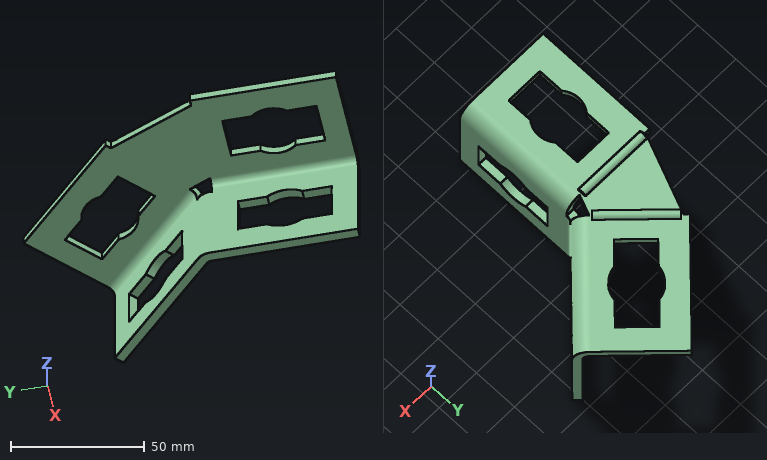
import cadquery as cq
import math

total_length = 130.8
turn_angle = 45.0
width = 45.0
height = 45.1
thickness = 4.0
inner_radius = 3.0
joint_length = 2.0

slot_length = 36.0
slot_width = 16.6
relief_diameter = 21.3
top_slot_from_edge = 20.4
side_slot_from_edge = 20.1

web_inset = 2.4
strip_drop = 8.0
bead_start = 3.4
bead_length = 33.4
bead_width = 3.9
bead_height = 1.0

outer_radius = inner_radius + thickness
half_turn = math.radians(turn_angle / 2)
turn = math.radians(turn_angle)
corner_y = (total_length - width * math.sin(turn)) / (1 + math.cos(turn))
arm_length = corner_y - joint_length
bend_line_x = width - outer_radius
mirror_normal = (math.sin(half_turn), math.cos(half_turn))


def slot_cutter(plane, depth):
    """Slot running along the plane's local X, cut to both sides of the plane."""
    rectangle = cq.Workplane(plane).rect(slot_length, slot_width).extrude(depth, both=True)
    relief = cq.Workplane(plane).circle(relief_diameter / 2).extrude(depth, both=True)
    return rectangle.union(relief)


def make_arm():
    """Angle section along Y, its bend at +X, with one slot in each leg."""
    arm = (
        cq.Workplane("XZ")
        .moveTo(0, height)
        .lineTo(bend_line_x, height)
        .radiusArc((width, height - outer_radius), outer_radius)
        .lineTo(width, 0)
        .lineTo(width - thickness, 0)
        .lineTo(width - thickness, height - outer_radius)
        .radiusArc((bend_line_x, height - thickness), -inner_radius)
        .lineTo(0, height - thickness)
        .close()
        .extrude(-arm_length)
    )
    middle_y = arm_length / 2
    top_plane = cq.Plane((top_slot_from_edge, middle_y, height), xDir=(0, 1, 0), normal=(0, 0, 1))
    side_plane = cq.Plane((width, middle_y, side_slot_from_edge), xDir=(0, 1, 0), normal=(1, 0, 0))
    cut_depth = 2 * thickness
    return arm.cut(slot_cutter(top_plane, cut_depth)).cut(slot_cutter(side_plane, cut_depth))


def web_edge_end(x):
    """Foot on the mirror plane of the perpendicular from the arm end at x."""
    distance = (joint_length + (width - x) * math.tan(half_turn)) * math.cos(half_turn)
    return (x + distance * mirror_normal[0], arm_length + distance * mirror_normal[1])


def make_half_web():
    """Flat plate from the arm end to the mirror plane."""
    return (
        cq.Workplane("XY")
        .workplane(offset=height - thickness)
        .moveTo(web_inset, arm_length)
        .lineTo(bend_line_x, arm_length)
        .lineTo(*web_edge_end(bend_line_x))
        .lineTo(*web_edge_end(web_inset))
        .close()
        .extrude(thickness)
    )


def make_half_strip():
    """Upright corner strip from the arm end to the middle of its bend."""
    center_x = width + inner_radius
    center_y = corner_y - inner_radius * math.tan(half_turn)

    def bend_point(radius, angle):
        return (center_x - radius * math.cos(angle), center_y + radius * math.sin(angle))

    return (
        cq.Workplane("XY")
        .moveTo(width, arm_length)
        .lineTo(width, center_y)
        .threePointArc(bend_point(inner_radius, half_turn / 2), bend_point(inner_radius, half_turn))
        .lineTo(*bend_point(outer_radius, half_turn))
        .threePointArc(bend_point(outer_radius, half_turn / 2), bend_point(outer_radius, 0))
        .lineTo(width - thickness, arm_length)
        .close()
        .extrude(height - strip_drop)
    )


def make_bead():
    """Low rounded bead on the plate, centred on the arm end."""
    return (
        cq.Workplane("YZ")
        .workplane(offset=bead_start)
        .moveTo(arm_length - bead_width / 2, height)
        .threePointArc(
            (arm_length, height + bead_height),
            (arm_length + bead_width / 2, height),
        )
        .lineTo(arm_length + bead_width / 2, height - thickness / 2)
        .lineTo(arm_length - bead_width / 2, height - thickness / 2)
        .close()
        .extrude(bead_length)
    )


half = make_arm().union(make_half_web()).union(make_half_strip()).union(make_bead())
other_half = half.mirror(cq.Vector(*mirror_normal, 0), (width, corner_y, 0))
result = half.union(other_half)